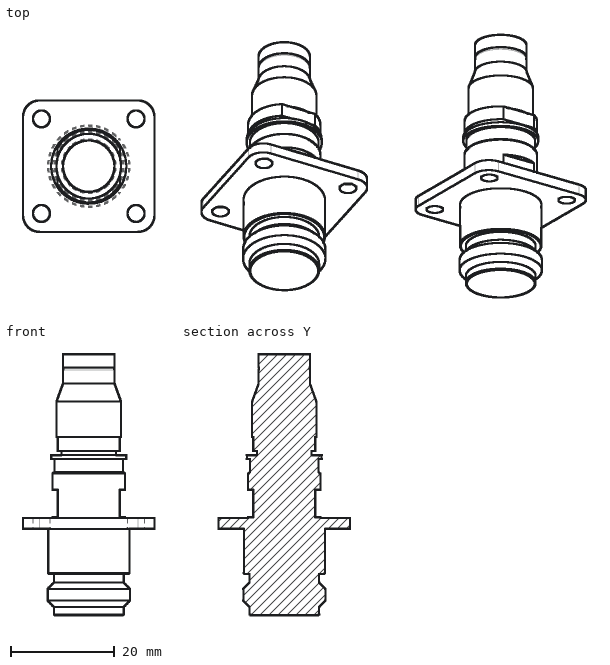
import cadquery as cq

total_height = 50.4
cable_groove_top = 47.8
cable_groove_floor_bottom = 47.65
cable_groove_bottom = 47.35
cone_top = 44.7
sleeve_top = 41.25
nut_top = 34.4
nut_bottom = 31.65
ring_top = 30.9
ring_bottom = 30.15
body_cone_top = 27.65
body_top = 27.35
flat_top = 24.2
flat_bottom = 18.95
plate_top = 18.8
plate_bottom = 16.7
barrel_bottom = 7.95
collar_cone_top = 6.3
collar_top = 5.1
collar_bottom = 2.8
collar_cone_bottom = 1.6

cable_radius = 5.0
cable_groove_radius = 4.95
sleeve_radius = 6.25
nut_radius = 7.0
neck_radius = 5.3
ring_radius = 7.25
seal_groove_radius = 6.65
body_radius = 7.0
barrel_radius = 7.85
collar_radius = 7.95
spigot_radius = 6.75

barrel_chamfer = 0.15
spigot_chamfer = 0.2

flat_distance = 6.0

plate_size = 25.4
plate_corner_radius = 3.25
hole_spacing = 18.25
hole_diameter = 3.25


def turned(points):
    """Solid of revolution about Z from (radius, z) points, closed along the axis."""
    top_z = points[0][1]
    bottom_z = points[-1][1]
    profile = cq.Workplane("XZ").polyline([(0, top_z)] + points + [(0, bottom_z)]).close()
    return profile.revolve(360, (0, 0, 0), (0, 1, 0))


def make_upper_body():
    """Cable, tapered sleeve, nut, neck, ring, seal groove and body above the plate."""
    return turned([
        (cable_radius, total_height),
        (cable_radius, cable_groove_top),
        (cable_groove_radius, cable_groove_top),
        (cable_groove_radius, cable_groove_floor_bottom),
        (cable_radius, cable_groove_bottom),
        (cable_radius, cone_top),
        (sleeve_radius, sleeve_top),
        (sleeve_radius, nut_top),
        (nut_radius, nut_top),
        (nut_radius, nut_bottom),
        (neck_radius, nut_bottom),
        (neck_radius, ring_top),
        (ring_radius, ring_top),
        (ring_radius, ring_bottom),
        (seal_groove_radius, ring_bottom),
        (seal_groove_radius, body_cone_top),
        (body_radius, body_top),
        (body_radius, plate_bottom),
    ])


def make_lower_body():
    """Barrel, groove, double-cone collar and spigot below the plate."""
    return turned([
        (barrel_radius, plate_bottom),
        (barrel_radius, barrel_bottom + barrel_chamfer),
        (barrel_radius - barrel_chamfer, barrel_bottom),
        (spigot_radius, barrel_bottom),
        (spigot_radius, collar_cone_top),
        (collar_radius, collar_top),
        (collar_radius, collar_bottom),
        (spigot_radius, collar_cone_bottom),
        (spigot_radius, spigot_chamfer),
        (spigot_radius - spigot_chamfer, 0),
    ])


def make_plate():
    """Square flange with rounded corners and a through hole at each corner."""
    plate = cq.Workplane("XY").workplane(offset=plate_bottom)
    plate = plate.rect(plate_size, plate_size).extrude(plate_top - plate_bottom)
    plate = plate.edges("|Z").fillet(plate_corner_radius)
    plate = plate.faces(">Z").workplane().rect(hole_spacing, hole_spacing, forConstruction=True)
    return plate.vertices().hole(hole_diameter)


def make_flat_cutter(bottom, top):
    """Square block with a slot through it along Y that leaves two flats at x = -/+ flat_distance."""
    outer_size = 4 * ring_radius
    level = cq.Workplane("XY").workplane(offset=bottom)
    outside = level.rect(outer_size, outer_size).extrude(top - bottom)
    kept = level.rect(2 * flat_distance, outer_size).extrude(top - bottom)
    return outside.cut(kept)


upper_body = make_upper_body()

upper_body = upper_body.cut(make_flat_cutter(flat_bottom, flat_top))
upper_body = upper_body.cut(make_flat_cutter(nut_bottom, nut_top))

result = upper_body.union(make_lower_body()).union(make_plate())